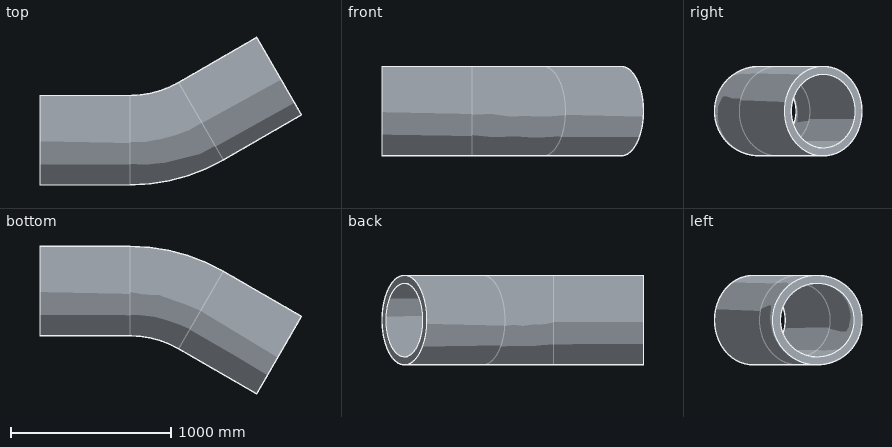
import cadquery as cq
import math

overall_length = 1633.0
outer_diameter = 560.0
bore_diameter = 459.0
leg_length = 563.0
bend_angle = 30.0

outer_radius = outer_diameter / 2
sin_bend = math.sin(math.radians(bend_angle))
cos_bend = math.cos(math.radians(bend_angle))
bend_span = overall_length - leg_length - leg_length * cos_bend - outer_radius * sin_bend
bend_radius = bend_span / sin_bend


def pipe_ring(plane):
    """Annular pipe cross-section on the given plane."""
    return cq.Workplane(plane).circle(outer_radius).circle(bore_diameter / 2)


inlet_leg = pipe_ring("YZ").extrude(leg_length)

bend_start = cq.Plane(origin=(leg_length, 0, 0), xDir=(0, 1, 0), normal=(1, 0, 0))
bend = pipe_ring(bend_start).revolve(bend_angle, (bend_radius, 0, 0), (bend_radius, 1, 0))

bend_end = cq.Plane(
    origin=(leg_length + bend_radius * sin_bend, bend_radius * (1 - cos_bend), 0),
    xDir=(-sin_bend, cos_bend, 0),
    normal=(cos_bend, sin_bend, 0),
)
outlet_leg = pipe_ring(bend_end).extrude(leg_length)

result = inlet_leg.union(bend).union(outlet_leg)